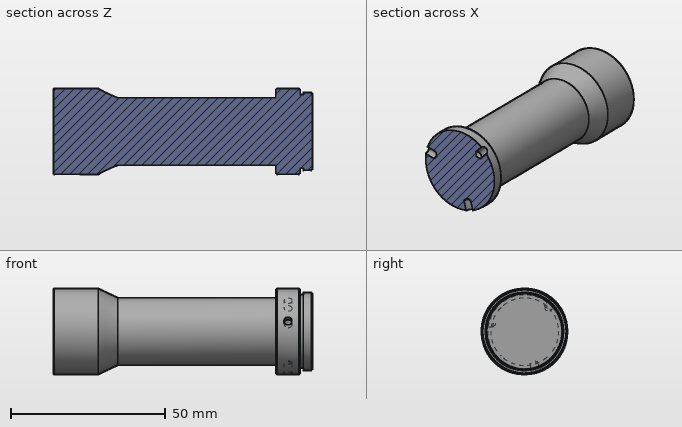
import cadquery as cq
import math

head_radius = 14.0
head_length = 14.5
head_chamfer = 0.3
taper_length = 6.35
tube_radius = 11.0

collar_radius = 14.0
collar_start = 72.1
collar_length = 8.0
end_chamfer = 0.5
neck_radius = 12.0
neck_length = 1.0
mount_radius = 12.7
mount_length = 3.0

hole_diameter = 2.6
hole_depth = 3.5
hole_tip_angle = 118.0
hole_count = 3
first_hole_angle = 14.0

collar_end = collar_start + collar_length
mount_start = collar_end + neck_length


def cylinder(start, length, radius):
    """Round bar along X from the given start."""
    return cq.Workplane("YZ").workplane(offset=start).circle(radius).extrude(length)


def make_head():
    return cylinder(0, head_length, head_radius).faces("<X").chamfer(head_chamfer)


def make_taper_and_tube():
    tube_start = head_length + taper_length
    taper = cq.Workplane(
        cq.Solid.makeCone(
            head_radius, tube_radius, taper_length, cq.Vector(head_length, 0, 0), cq.Vector(1, 0, 0)
        )
    )
    return taper.union(cylinder(tube_start, collar_start - tube_start, tube_radius))


def make_collar():
    return cylinder(collar_start, collar_length, collar_radius).faces("<X or >X").chamfer(end_chamfer)


def make_mount():
    neck = cylinder(collar_end, neck_length, neck_radius)
    flange = cylinder(mount_start, mount_length, mount_radius).faces(">X").chamfer(end_chamfer)
    return neck.union(flange)


def make_hole(angle):
    """Drilled hole with a conical tip, pointing at the axis at mid-collar."""
    hole_radius = hole_diameter / 2
    tip_length = hole_radius / math.tan(math.radians(hole_tip_angle / 2))
    inward = cq.Vector(0, 1, 0)
    bore = cq.Solid.makeCylinder(hole_radius, hole_depth, cq.Vector(0, -collar_radius, 0), inward)
    tip = cq.Solid.makeCone(hole_radius, 0, tip_length, cq.Vector(0, hole_depth - collar_radius, 0), inward)
    drill = cq.Workplane(bore).union(cq.Workplane(tip))
    return drill.rotate((0, 0, 0), (1, 0, 0), -angle).translate((collar_start + collar_length / 2, 0, 0))


result = make_head().union(make_taper_and_tube()).union(make_collar()).union(make_mount())
for index in range(hole_count):
    result = result.cut(make_hole(first_hole_angle + index * 360 / hole_count))